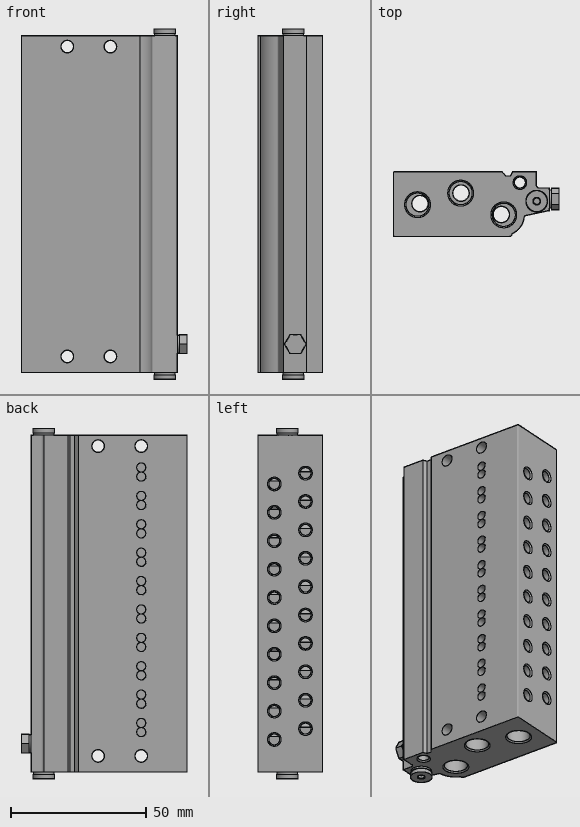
import cadquery as cq
import math

total_length = 129.5
total_width = 61.3
block_length = 124.5
block_depth = 24.0
plug_height = (total_length - block_length) / 2

channel_dia = 6.0
port_dia = 8.5
port_depth = 9.0
port_chamfer = 0.5
port_centres = [(9.0, 11.8), (24.9, 16.0), (40.8, 8.0)]
channel_centres = [(9.8, 12.2), (25.0, 16.0), (39.9, 8.2)]
pilot_dia = 4.0
pilot_chamfer = 0.5
pilot_centre = (46.7, 20.0)

corner_radius = 0.4
arm_fillet = 0.6
step_fillet = 1.0
nose_centre = port_centres[2]
nose_radius = 7.6
nose_start_x = 43.9
arm_end_x = 57.6
arm_tip_width = 0.6
arm_front_y = 9.5
arm_back_y = 18.0
arm_slope = math.radians(12)
step_x = 52.8
notch_left_x = 40.1
notch_right_x = 44.0
notch_depth = 1.5
notch_floor_left_x = 41.6
notch_floor_right_x = 43.3

mount_dia = 4.5
mount_columns = [17.0, 32.9]
mount_low_z = 6.0
mount_high_z = block_length - 4.0

outlet_count = 10
outlet_pitch = 10.5
outlet_dia = 4.0
outlet_chamfer = 0.5
outlet_depth = 16.3
front_row_y = 6.3
front_row_low_z = 16.0
back_row_y = 17.9
back_row_low_z = 12.0

passage_dia = 3.4
passage_x = mount_columns[0]
front_passage_rise = 2.1
back_passage_rise = 2.7

plug_centre = (53.0, 13.1)
plug_dia = 8.0
plug_neck_dia = 7.6
plug_neck_height = 0.9
socket_dia = 2.3
socket_chamfer = 0.3
socket_depth = 1.3

screw_y = 13.9
screw_z = 10.5
hex_across_flats = 7.0
hex_chamfer = 0.1
washer_dia = 6.7
head_x = 58.4


def block_outline():
    """Cross-section from the left front corner, and the corner where the nose meets the arm."""
    nose_x, nose_y = nose_centre
    nose_start_y = nose_y - math.sqrt(nose_radius ** 2 - (nose_start_x - nose_x) ** 2)
    start_angle = math.atan2(nose_start_y - nose_y, nose_start_x - nose_x)

    slope_x = arm_end_x - arm_tip_width
    along_x = math.cos(arm_slope)
    along_y = math.sin(arm_slope)
    offset_x = slope_x - nose_x
    offset_y = arm_front_y - nose_y
    projection = offset_x * along_x + offset_y * along_y
    clearance = offset_x ** 2 + offset_y ** 2 - nose_radius ** 2
    run = projection - math.sqrt(projection ** 2 - clearance)
    nose_end_x = slope_x - run * along_x
    nose_end_y = arm_front_y - run * along_y
    end_angle = math.atan2(nose_end_y - nose_y, nose_end_x - nose_x)

    mid_angle = (start_angle + end_angle) / 2
    nose_mid = (nose_x + nose_radius * math.cos(mid_angle), nose_y + nose_radius * math.sin(mid_angle))
    notch_floor_y = block_depth - notch_depth
    outline = (
        cq.Workplane("XY")
        .moveTo(0, 0)
        .lineTo(nose_start_x - nose_start_y, 0)
        .tangentArcPoint((nose_start_x, nose_start_y), relative=False)
        .threePointArc(nose_mid, (nose_end_x, nose_end_y))
        .lineTo(slope_x, arm_front_y)
        .lineTo(arm_end_x, arm_front_y)
        .lineTo(arm_end_x, arm_back_y)
        .lineTo(step_x, arm_back_y)
        .lineTo(step_x, block_depth)
        .lineTo(notch_right_x, block_depth)
        .lineTo(notch_floor_right_x, notch_floor_y)
        .lineTo(notch_floor_left_x, notch_floor_y)
        .lineTo(notch_left_x, block_depth)
        .lineTo(0, block_depth)
        .close()
    )
    return outline, (nose_end_x, nose_end_y)


def edges_at(body, x, y):
    """Select the lengthwise edges at the given corner of the outline."""
    reach = 0.1
    return body.edges(cq.selectors.BoxSelector(
        (x - reach, y - reach, -reach), (x + reach, y + reach, block_length + reach), boundingbox=True))


def make_blank():
    """Extruded block with its rounded corners."""
    outline, nose_end = block_outline()
    blank = outline.extrude(block_length)
    blank = edges_at(blank, 0, 0).fillet(corner_radius)
    blank = edges_at(blank, 0, block_depth).fillet(corner_radius)
    blank = edges_at(blank, *nose_end).fillet(arm_fillet)
    return edges_at(blank, step_x, arm_back_y).fillet(step_fillet)


def chamfered_hole(plane, dia, depth, chamfer):
    """Cutter for a hole along the plane's normal, widened by a chamfer at the mouth."""
    bore = cq.Workplane(plane).circle(dia / 2).extrude(depth)
    mouth = (
        cq.Workplane(plane)
        .circle(dia / 2 + chamfer)
        .workplane(offset=chamfer)
        .circle(dia / 2)
        .loft()
    )
    return bore.union(mouth)


def end_hole(centre, z, direction, dia, depth, chamfer):
    """Chamfered cutter that enters an end face and runs along Z."""
    plane = cq.Plane(origin=(*centre, z), xDir=(1, 0, 0), normal=(0, 0, direction))
    return chamfered_hole(plane, dia, depth, chamfer)


def cut_channels(block):
    """Through channels, with a wider port and a chamfered pilot hole at both ends."""
    channels = cq.Workplane("XY").pushPoints(channel_centres).circle(channel_dia / 2).extrude(block_length)
    block = block.cut(channels)
    for z, direction in [(0, 1), (block_length, -1)]:
        for centre in port_centres:
            block = block.cut(end_hole(centre, z, direction, port_dia, port_depth, port_chamfer))
        block = block.cut(end_hole(pilot_centre, z, direction, pilot_dia, block_length, pilot_chamfer))
    return block


def cut_mounting_holes(block):
    centres = [(x, z) for x in mount_columns for z in (mount_low_z, mount_high_z)]
    holes = cq.Workplane("XZ").pushPoints(centres).circle(mount_dia / 2).extrude(-block_depth)
    return block.cut(holes)


def cut_outlet_row(block, y, low_z, passage_rise):
    """Blind outlets on the left side, each met by a passage from the back face."""
    for i in range(outlet_count):
        z = low_z + i * outlet_pitch
        plane = cq.Plane(origin=(0, y, z), xDir=(0, 1, 0), normal=(1, 0, 0))
        outlet = chamfered_hole(plane, outlet_dia, outlet_depth, outlet_chamfer)
        passage = (
            cq.Workplane("XZ", origin=(passage_x, block_depth, z + passage_rise))
            .circle(passage_dia / 2)
            .extrude(block_depth - y + outlet_dia / 2)
        )
        block = block.cut(outlet).cut(passage)
    return block


def make_block():
    block = cut_channels(make_blank())
    block = cut_mounting_holes(block)
    block = cut_outlet_row(block, front_row_y, front_row_low_z, front_passage_rise)
    return cut_outlet_row(block, back_row_y, back_row_low_z, back_passage_rise)


def make_plug(z, direction):
    """Flanged plug that stands on an end face, with a socket in its outer face."""
    base = cq.Plane(origin=(*plug_centre, z), xDir=(1, 0, 0), normal=(0, 0, direction))
    neck = cq.Workplane(base).circle(plug_neck_dia / 2).extrude(plug_neck_height)
    flange = (
        cq.Workplane(base)
        .workplane(offset=plug_neck_height)
        .circle(plug_dia / 2)
        .extrude(plug_height - plug_neck_height)
    )
    rim_z = z + direction * plug_height
    socket = end_hole(plug_centre, rim_z, -direction, socket_dia, socket_depth, socket_chamfer)
    return neck.union(flange).cut(socket)


def make_screw():
    """Hex head with a round washer face that bears on the end of the arm."""
    seat = cq.Plane(origin=(arm_end_x, screw_y, screw_z), xDir=(0, 1, 0), normal=(1, 0, 0))
    head_start = head_x - arm_end_x
    head_dia = hex_across_flats / math.cos(math.pi / 6)
    head_height = total_width - head_x
    washer = cq.Workplane(seat).circle(washer_dia / 2).extrude(head_start)
    head = cq.Workplane(seat).workplane(offset=head_start).polygon(6, head_dia).extrude(head_height)
    rounding = (
        cq.Workplane(seat)
        .workplane(offset=head_start)
        .circle(head_dia / 2)
        .extrude(head_height)
        .edges()
        .chamfer(hex_chamfer)
    )
    return washer.union(head.intersect(rounding))


block = make_block()
plugs = [make_plug(z, direction) for z, direction in [(0, -1), (block_length, 1)]]
screw = make_screw()

result = cq.Compound.makeCompound([block.val(), *[plug.val() for plug in plugs], screw.val()])